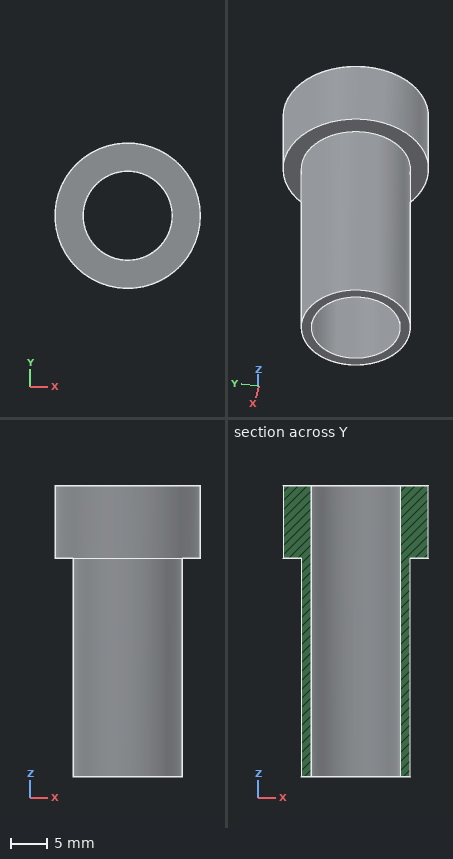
import cadquery as cq

total_length = 40.0
head_diameter = 20.0
head_length = 10.0
shank_diameter = 15.0
bore_diameter = 12.2

shank_length = total_length - head_length

shank = cq.Workplane("XY").circle(shank_diameter / 2).extrude(shank_length)
head = (
    cq.Workplane("XY")
    .workplane(offset=shank_length)
    .circle(head_diameter / 2)
    .extrude(head_length)
)

bore = cq.Workplane("XY").circle(bore_diameter / 2).extrude(total_length)

result = shank.union(head).cut(bore)